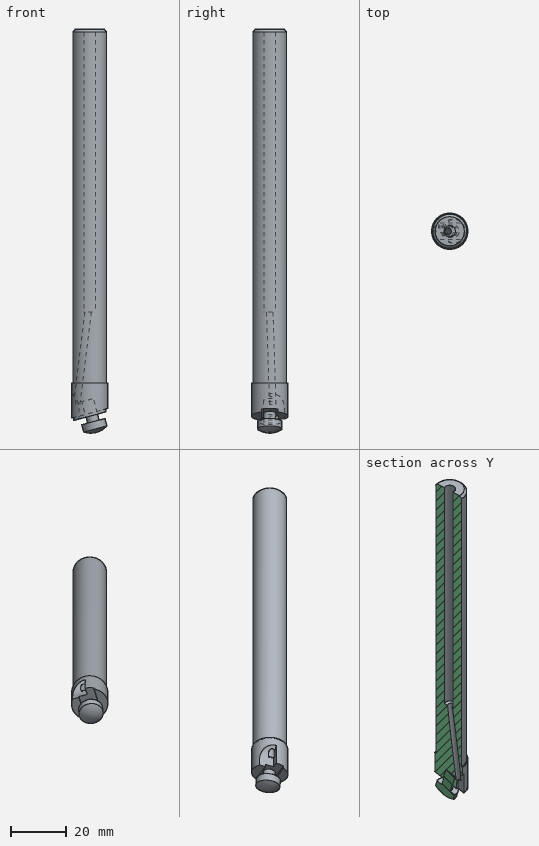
import cadquery as cq
import math

total_length = 144.7
shank_diameter = 12.2
top_chamfer_width = 0.9
top_chamfer_height = 1.0

collar_diameter = 13.0
collar_top_z = 18.0
end_tilt = 15.0
end_centre_z = 6.1
slot_width = 6.1
slot_depth = 1.0

bore_diameter = 4.0
bore_bottom_z = 43.4
outlet_diameter = 2.3
outlet_start = cq.Vector(-0.6, 0, bore_bottom_z)
outlet_end = cq.Vector(-4.5, 1.0, 11.9)
outlet_overrun = 1.5

pocket_floor_x = -3.8
pocket_straight_z = 8.2
runout_radius = 8.0

screw_axis_x = 0.7
screw_shank_diameter = 4.3
screw_depth = 5.8
head_gap = 2.2
head_diameter = 8.7
head_side_height = 2.7
head_dome_radius = 7.7

tilt = math.radians(end_tilt)
outward = cq.Vector(math.sin(tilt), 0, -math.cos(tilt))
screw_origin = cq.Vector(screw_axis_x, 0, end_centre_z + screw_axis_x * math.tan(tilt))
end_plane = cq.Plane(origin=screw_origin, xDir=(-math.cos(tilt), 0, -math.sin(tilt)), normal=outward)


def make_blank():
    """Shank and collar, with the collar cut off at a tilt."""
    collar = cq.Workplane("XY").circle(collar_diameter / 2).extrude(collar_top_z)
    waste = cq.Workplane(end_plane).rect(3 * collar_diameter, 3 * collar_diameter).extrude(collar_diameter)
    collar = collar.cut(waste)
    shank = (
        cq.Workplane("XY", origin=(0, 0, collar_top_z))
        .circle(shank_diameter / 2)
        .extrude(total_length - collar_top_z)
        .faces(">Z")
        .chamfer(top_chamfer_height, top_chamfer_width)
    )
    return collar.union(shank)


def make_slot():
    """Straight slot across the tilted end, running in the direction of the tilt."""
    return cq.Workplane(end_plane).rect(3 * collar_diameter, slot_width).extrude(-slot_depth)


def make_pocket():
    """Space bounded by a flat floor, a cylindrical run-out and a wall at Y = 0."""
    runout_centre_x = pocket_floor_x - runout_radius
    return (
        cq.Workplane("XZ")
        .moveTo(runout_centre_x, 0)
        .lineTo(pocket_floor_x, 0)
        .lineTo(pocket_floor_x, pocket_straight_z)
        .radiusArc((runout_centre_x, pocket_straight_z + runout_radius), -runout_radius)
        .close()
        .extrude(-collar_diameter)
    )


def make_bore():
    """Long central bore and its slanted outlet."""
    bore = (
        cq.Workplane("XY", origin=(0, 0, bore_bottom_z))
        .circle(bore_diameter / 2)
        .extrude(total_length - bore_bottom_z)
    )
    direction = outlet_end - outlet_start
    outlet = cq.Solid.makeCylinder(
        outlet_diameter / 2, direction.Length + 2 * outlet_overrun,
        outlet_start - direction.normalized() * outlet_overrun, direction,
    )
    return bore.union(cq.Workplane(obj=outlet))


def make_screw():
    """Screw with a plain shank and a domed head standing clear of the holder."""
    shank_radius = screw_shank_diameter / 2
    head_radius = head_diameter / 2
    dome_height = head_dome_radius - math.sqrt(head_dome_radius**2 - head_radius**2)
    side_end = head_gap + head_side_height
    profile_plane = cq.Plane(origin=screw_origin, xDir=(0, 1, 0), normal=outward.cross(cq.Vector(0, 1, 0)))
    return (
        cq.Workplane(profile_plane)
        .moveTo(0, screw_depth)
        .lineTo(shank_radius, screw_depth)
        .lineTo(shank_radius, -head_gap)
        .lineTo(head_radius, -head_gap)
        .lineTo(head_radius, -side_end)
        .radiusArc((0, -side_end - dome_height), head_dome_radius)
        .close()
        .revolve(360, (0, 0), (0, 1))
    )


def make_screw_hole():
    """Blind hole that the screw shank fills."""
    return cq.Workplane(end_plane).circle(screw_shank_diameter / 2).extrude(-screw_depth)


holder = make_blank().cut(make_slot()).cut(make_pocket()).cut(make_bore()).cut(make_screw_hole())
screw = make_screw()

result = cq.Compound.makeCompound([holder.val(), screw.val()])